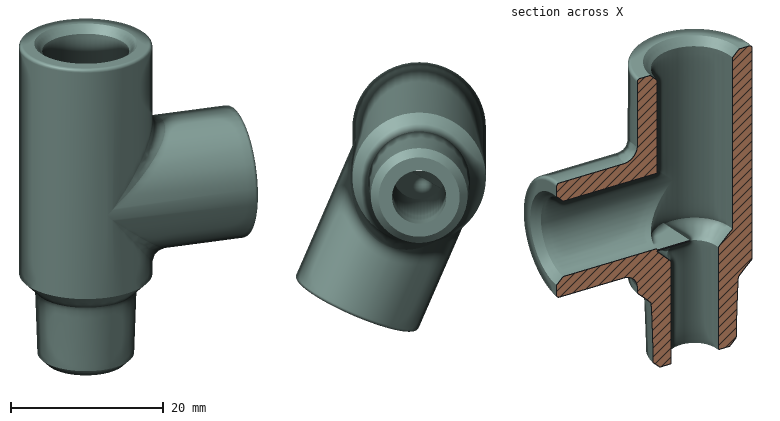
import cadquery as cq
import math

height = 45.0
body_dia = 17.5
body_radius = body_dia / 2
branch_axis_z = 24.0
branch_end_y = 29.75 - body_radius
rim_round = 0.45
crotch_round = 2.0
crotch_overlap = 0.005

shoulder_top_z = 12.35
shoulder_bottom_z = 10.2
spigot_top_radius = 6.65
spigot_bottom_radius = 6.35
spigot_chamfer = 1.05

bore_radius = 11.45 / 2
passage_radius = 7.1 / 2
mouth_radius = 6.75
mouth_depth = mouth_radius - bore_radius
cone_depth = bore_radius - passage_radius
floor_clearance = 0.45
bore_floor_z = branch_axis_z - bore_radius - floor_clearance

web_thickness = 0.22
web_embed = 0.45
web_edge_tilt = 7.5
web_edge_offset = 0.75


def body():
    """Vertical cylinder with a conical shoulder and a tapered spigot."""
    outline = [
        (0, 0),
        (spigot_bottom_radius - spigot_chamfer, 0),
        (spigot_bottom_radius, spigot_chamfer),
        (spigot_top_radius, shoulder_bottom_z),
        (body_radius, shoulder_top_z),
        (body_radius, height),
        (0, height),
    ]
    solid = cq.Workplane("XZ").polyline(outline).close().revolve(360, (0, 0), (0, 1))
    return solid.faces(">Z").edges().fillet(rim_round)


def branch():
    """Side cylinder running from the vertical axis towards +Y."""
    plane = cq.Plane((0, 0, branch_axis_z), xDir=(1, 0, 0), normal=(0, 1, 0))
    solid = cq.Workplane(plane).circle(body_radius).extrude(branch_end_y)
    return solid.faces(">Y").edges().fillet(rim_round)


def mouth_flare(depth):
    """Conical flare at the open end of a bore that runs from zero to depth along +Z."""
    outline = [
        (0, depth - mouth_depth),
        (bore_radius, depth - mouth_depth),
        (mouth_radius, depth),
        (0, depth),
    ]
    return cq.Workplane("XZ").polyline(outline).close().revolve(360, (0, 0), (0, 1))


def vertical_bore():
    """Flared bore from the top, narrowing through a cone to the passage in the spigot."""
    outline = [
        (0, 0),
        (passage_radius, 0),
        (passage_radius, bore_floor_z - cone_depth),
        (bore_radius, bore_floor_z),
        (bore_radius, height),
        (0, height),
    ]
    solid = cq.Workplane("XZ").polyline(outline).close().revolve(360, (0, 0), (0, 1))
    return solid.union(mouth_flare(height))


def branch_bore():
    """Flared bore from the branch end to the vertical axis."""
    solid = cq.Workplane("XY").circle(bore_radius).extrude(branch_end_y)
    solid = solid.union(mouth_flare(branch_end_y))
    return solid.rotate((0, 0, 0), (1, 0, 0), -90).translate((0, 0, branch_axis_z))


def web():
    """Thin circular segment on the +Y side of the bore, with a slightly turned edge."""
    half = (
        cq.Workplane("XY")
        .rect(2 * body_dia, body_dia)
        .extrude(web_thickness)
        .translate((0, body_radius + web_edge_offset, 0))
        .rotate((0, 0, 0), (0, 0, 1), web_edge_tilt)
    )
    disc = cq.Workplane("XY").circle(bore_radius + web_embed).extrude(web_thickness)
    return disc.intersect(half).translate((0, 0, bore_floor_z))


def crotch_fillet(side):
    """Concave fillet on one side of the branch: +1 above its axis, -1 below.

    A ball rolling in the crotch has its centre on an ellipse in the 45 degree mitre plane,
    and touches the two cylinders along planes through the point where the axes cross.
    """
    centre_radius = body_radius + crotch_round
    wedge = (
        cq.Workplane("YZ")
        .polyline([(0, 0), (2 * body_radius, 2 * centre_radius), (2 * centre_radius, 2 * body_radius)])
        .close()
        .extrude(body_radius, both=True)
    )
    across_mitre = cq.Plane((0, 0, 0), xDir=(1, 0, 0), normal=(0, -1, 1))
    contact_reach = (2 * body_radius + crotch_round) / math.sqrt(2)
    contact_cylinder = (
        cq.Workplane(across_mitre)
        .ellipse(contact_reach, body_radius, rotation_angle=90)
        .extrude(body_dia, both=True)
    )
    ball_path = cq.Workplane(across_mitre).ellipseArc(
        centre_radius * math.sqrt(2), centre_radius, -90, 90, rotation_angle=90, startAtCurrent=False
    )
    ball_start = cq.Plane(ball_path.val().startPoint(), xDir=(1, 0, 0), normal=ball_path.val().tangentAt(0))
    ball_sweep = cq.Workplane(ball_start).circle(crotch_round + crotch_overlap).sweep(ball_path)
    fillet = wedge.intersect(contact_cylinder).cut(ball_sweep)
    if side < 0:
        fillet = fillet.mirror("XY")
    return fillet.translate((0, 0, branch_axis_z))


outer = body().union(branch())
for side in (1, -1):
    outer = outer.union(crotch_fillet(side))

bores = vertical_bore().union(branch_bore())

result = outer.cut(bores).union(web())